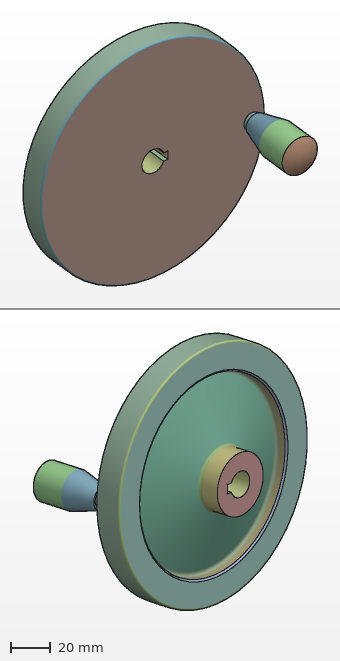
import cadquery as cq
import math

wheel_radius = 69.98
rim_width = 16.0
rim_edge_radius = 1.0
hub_radius = 17.0
hub_front_length = 11.6
back_x = 34.0
rim_front_x = back_x - rim_width

web_angle = 20
recess_diameter = 108.0
recess_radius = recess_diameter / 2
recess_floor_x = hub_front_length + (recess_radius - hub_radius) * math.tan(math.radians(web_angle))
web_fillet = 1.6

bore_diameter = 14.0
key_width = 5.0
key_reach = 9.3

overall_length = 76.9
handle_radius = 11.0
overall_width = 143
handle_y = overall_width - wheel_radius - handle_radius
neck_radius = 5.3
neck_length = 3.0
taper_start_radius = 6.3
taper_length = 17.7
dome_height = 3.0


def round_edges(body, radius, fillet_radius, min_x=0):
    """Fillet the full-circle edges of the given radius that lie beyond min_x."""
    tolerance = 0.01
    edges = body.edges("%CIRCLE").filter(
        lambda edge: abs(edge.radius() - radius) < tolerance and edge.Center().x > min_x + tolerance
    )
    return edges.fillet(fillet_radius)


def make_wheel():
    body = (
        cq.Workplane("XY")
        .moveTo(0, 0)
        .lineTo(0, hub_radius)
        .lineTo(hub_front_length, hub_radius)
        .lineTo(recess_floor_x, recess_radius)
        .lineTo(rim_front_x + rim_edge_radius, recess_radius)
        .radiusArc((rim_front_x, recess_radius + rim_edge_radius), -rim_edge_radius)
        .lineTo(rim_front_x, wheel_radius)
        .lineTo(back_x, wheel_radius)
        .lineTo(back_x, 0)
        .close()
        .revolve(360, (0, 0, 0), (1, 0, 0))
    )
    body = round_edges(body, hub_radius, web_fillet)
    body = round_edges(body, recess_radius, web_fillet, min_x=rim_front_x + rim_edge_radius)
    return round_edges(body, wheel_radius, rim_edge_radius)


def make_keyed_bore():
    bore = cq.Workplane("YZ").circle(bore_diameter / 2).extrude(back_x)
    keyway = cq.Workplane("XY").box(back_x, key_reach, key_width, centered=(False, False, True))
    return bore.union(keyway)


def make_handle():
    taper_start_x = back_x + neck_length
    grip_start_x = taper_start_x + taper_length
    dome_start_x = overall_length - dome_height
    dome_radius = (handle_radius**2 + dome_height**2) / (2 * dome_height)
    return (
        cq.Workplane("XY", origin=(0, handle_y, 0))
        .moveTo(back_x, 0)
        .lineTo(back_x, neck_radius)
        .lineTo(taper_start_x, neck_radius)
        .lineTo(taper_start_x, taper_start_radius)
        .lineTo(grip_start_x, handle_radius)
        .lineTo(dome_start_x, handle_radius)
        .radiusArc((overall_length, 0), dome_radius)
        .close()
        .revolve(360, (0, 0, 0), (1, 0, 0))
    )


result = make_wheel().cut(make_keyed_bore()).union(make_handle())